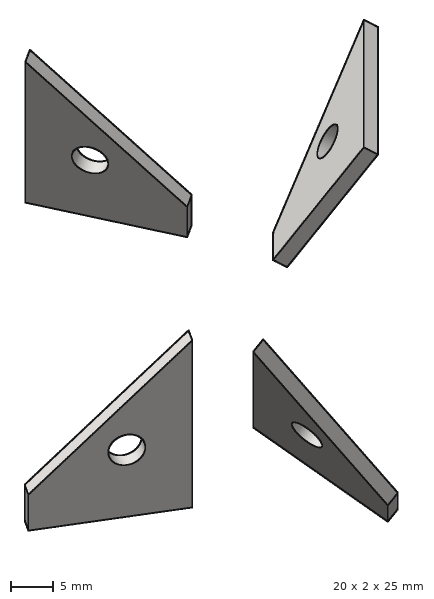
import cadquery as cq

width = 20.0
thickness = 2.0
tall_side = 25.0
short_side = 5.4

hole_diameter = 4.5
hole_x = 8.0
hole_z = 10.0

plate = (
    cq.Workplane("XZ")
    .polyline([(0, 0), (width, 0), (width, short_side), (0, tall_side)])
    .close()
    .extrude(-thickness)
)

hole = (
    cq.Workplane("XZ")
    .center(hole_x, hole_z)
    .circle(hole_diameter / 2)
    .extrude(-thickness)
)

result = plate.cut(hole)